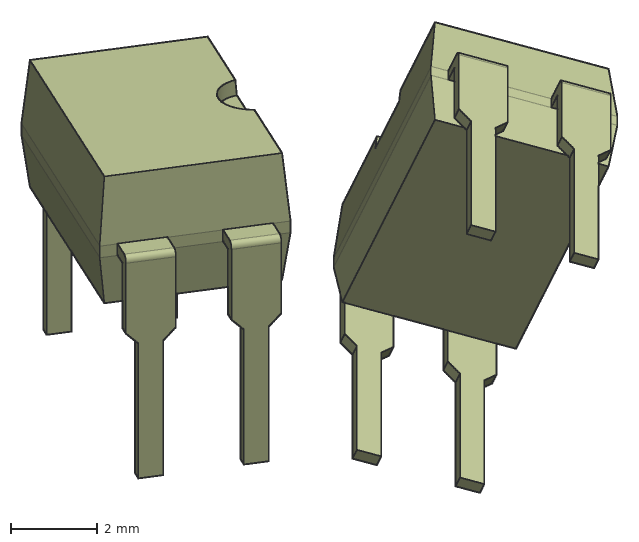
import cadquery as cq

body_length = 6.5
body_width = 4.6
body_bottom = 4.205
body_top = 7.5
taper_inset = 0.16

band_top = 5.8
band_height = 0.3
band_bottom = band_top - band_height

notch_radius = 0.8
notch_depth = 0.4

lead_span = 7.92
lead_thickness = 0.3
lead_pitch = 2.54
lead_width = 1.2
tip_width = 0.6
bend_radius = 0.16
shoulder_top = 3.8
shoulder_height = (lead_width - tip_width) / 2
shoulder_bottom = shoulder_top - shoulder_height


def make_tapered_half(start_height, end_height):
    """Block that narrows from the band to the top or bottom face."""
    return (
        cq.Workplane("XY", origin=(0, 0, start_height))
        .rect(body_length, body_width)
        .workplane(offset=end_height - start_height)
        .rect(body_length - 2 * taper_inset, body_width - 2 * taper_inset)
        .loft(ruled=True)
    )


def make_body():
    band = (
        cq.Workplane("XY", origin=(0, 0, band_bottom))
        .rect(body_length, body_width)
        .extrude(band_height)
    )
    upper_half = make_tapered_half(band_top, body_top)
    lower_half = make_tapered_half(band_bottom, body_bottom)
    notch = (
        cq.Workplane("XY", origin=(0, body_width / 2, body_top))
        .circle(notch_radius)
        .extrude(-notch_depth)
    )
    return band.union(upper_half).union(lower_half).cut(notch)


def make_left_lead():
    """Bent lead on the -X side, centred on Y = 0."""
    outer_face = -lead_span / 2
    inner_face = outer_face + lead_thickness
    bent_strip = (
        cq.Workplane("XZ")
        .moveTo(outer_face, 0)
        .lineTo(outer_face, band_top - bend_radius)
        .radiusArc((outer_face + bend_radius, band_top), bend_radius)
        .lineTo(-body_length / 2, band_top)
        .lineTo(-body_length / 2, band_bottom)
        .lineTo(inner_face, band_bottom)
        .lineTo(inner_face, 0)
        .close()
        .extrude(lead_width / 2, both=True)
    )
    outline = (
        cq.Workplane("YZ", origin=(outer_face, 0, 0))
        .polyline([
            (-tip_width / 2, 0),
            (-tip_width / 2, shoulder_bottom),
            (-lead_width / 2, shoulder_top),
            (-lead_width / 2, band_top),
            (lead_width / 2, band_top),
            (lead_width / 2, shoulder_top),
            (tip_width / 2, shoulder_bottom),
            (tip_width / 2, 0),
        ])
        .close()
        .extrude(lead_span / 2)
    )
    return bent_strip.intersect(outline)


body = make_body()

left_lead = make_left_lead()
right_lead = left_lead.mirror("YZ")
leads = []
for lead in (left_lead, right_lead):
    for lead_y in (-lead_pitch / 2, lead_pitch / 2):
        leads.append(lead.translate((0, lead_y, 0)).solids().val())

result = cq.Compound.makeCompound([body.solids().val(), *leads])